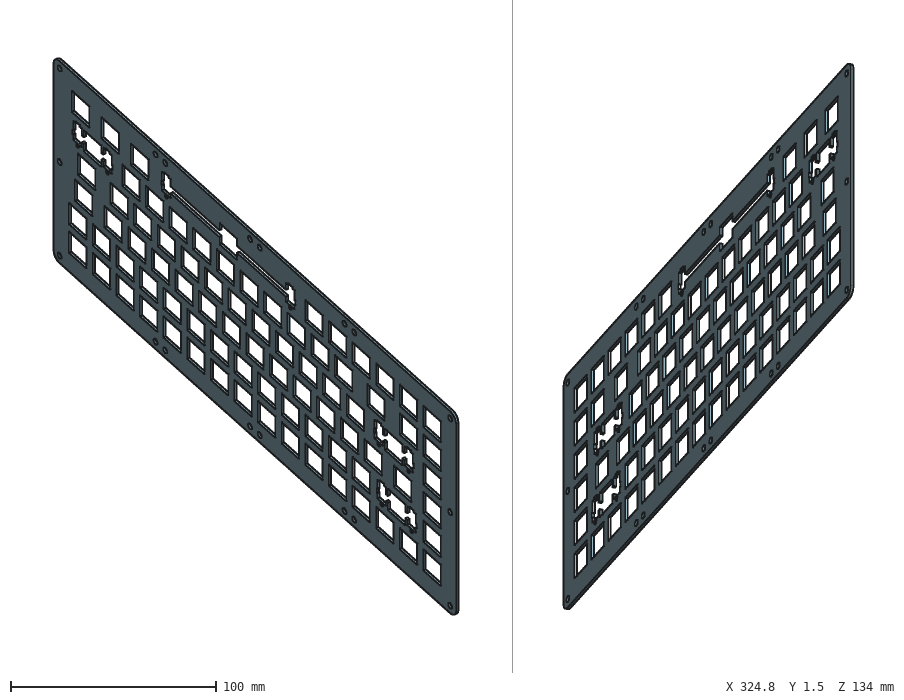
import cadquery as cq


plate_width = 324.8
plate_height = 134.0
plate_thickness = 1.5
corner_radius = 5.0

column_count = 16
row_count = 6
first_to_last_column = 285.8
key_pitch = first_to_last_column / (column_count - 1)
switch_size = 14.0

key_rows = [
    [1] * 16,
    [1] * 13 + [2, 1],
    [1.5] + [1] * 12 + [1.5, 1],
    [1.75] + [1] * 11 + [2.25, 1],
    [2.25] + [1] * 10 + [1.75, 1, 1],
    [1.25] * 3 + [6.25] + [1] * 6,
]

stabilized_key_width = 2
space_bar_width = 6.25
short_stabilizer_offset = 12.0
space_bar_stabilizer_offset = 50.0
housing_width = 6.8
housing_top = 6.8
housing_bottom = -5.5
clip_notch_width = 3.1
clip_notch_top = 7.8
side_tab_depth = 0.5
side_tab_top = 0.5
side_tab_bottom = -2.3
wire_slot_height = 4.5
peg_hole_diameter = 2.1
peg_hole_drop = 7.0

mounting_hole_diameter = 3.2
mounting_edge_distance = corner_radius
mounting_pair_half_gap = 4.0
mounting_pair_spacing = 4 * key_pitch


def key_centers():
    """Return (x, z, key width) for every key."""
    keys = []
    for row, widths in enumerate(key_rows):
        z = (row - (row_count - 1) / 2) * key_pitch
        left_edge = -column_count / 2
        for width in widths:
            keys.append(((left_edge + width / 2) * key_pitch, z, width))
            left_edge += width
    return keys


def mounting_hole_centers():
    edge_x = plate_width / 2 - mounting_edge_distance
    edge_z = plate_height / 2 - mounting_edge_distance
    centers = [(-edge_x, 0), (edge_x, 0)]
    for z in (-edge_z, edge_z):
        centers += [(-edge_x, z), (edge_x, z)]
        for pair in (-1, 0, 1):
            pair_x = pair * mounting_pair_spacing
            centers.append((pair_x - mounting_pair_half_gap, z))
            centers.append((pair_x + mounting_pair_half_gap, z))
    return centers


def cut_rectangle(body, left, right, bottom, top):
    """Cut a rectangular window through the plate."""
    window = (
        cq.Workplane("XZ")
        .center((left + right) / 2, (bottom + top) / 2)
        .rect(right - left, top - bottom)
        .extrude(plate_thickness, both=True)
    )
    return body.cut(window)


def cut_round_holes(body, centers, diameter):
    holes = (
        cq.Workplane("XZ")
        .pushPoints(centers)
        .circle(diameter / 2)
        .extrude(plate_thickness, both=True)
    )
    return body.cut(holes)


def cut_stabilizer(body, key_x, key_z, offset):
    """Cut both housings, their peg holes and the wire slot that joins them."""
    body = cut_rectangle(
        body, key_x - offset, key_x + offset, key_z - wire_slot_height / 2, key_z + wire_slot_height / 2
    )
    for side in (-1, 1):
        x = key_x + side * offset
        body = cut_rectangle(
            body, x - housing_width / 2, x + housing_width / 2, key_z + housing_bottom, key_z + housing_top
        )
        body = cut_rectangle(
            body, x - clip_notch_width / 2, x + clip_notch_width / 2, key_z, key_z + clip_notch_top
        )
        tab_x = x + side * (housing_width / 2 + side_tab_depth)
        body = cut_rectangle(
            body, min(x, tab_x), max(x, tab_x), key_z + side_tab_bottom, key_z + side_tab_top
        )
        body = cut_round_holes(body, [(x, key_z - peg_hole_drop)], peg_hole_diameter)
    return body


keys = key_centers()

result = (
    cq.Workplane("XZ")
    .rect(plate_width, plate_height)
    .extrude(plate_thickness / 2, both=True)
    .edges("|Y")
    .fillet(corner_radius)
)

switch_windows = (
    cq.Workplane("XZ")
    .pushPoints([(x, z) for x, z, width in keys])
    .rect(switch_size, switch_size)
    .extrude(plate_thickness, both=True)
)
result = result.cut(switch_windows)

for x, z, width in keys:
    if width == space_bar_width:
        result = cut_stabilizer(result, x, z, space_bar_stabilizer_offset)
    elif width >= stabilized_key_width:
        result = cut_stabilizer(result, x, z, short_stabilizer_offset)

result = cut_round_holes(result, mounting_hole_centers(), mounting_hole_diameter)